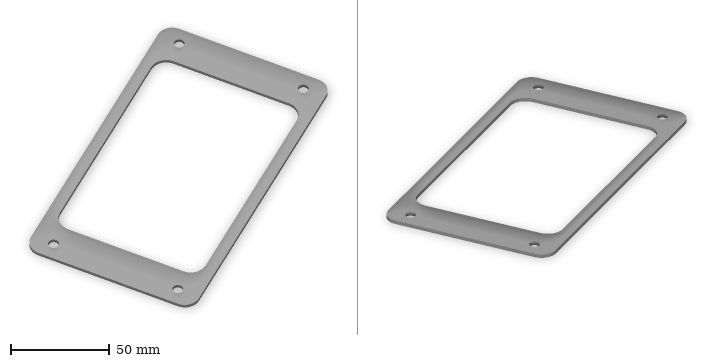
import cadquery as cq

plate_width = 94.7
plate_length = 165.7
plate_thickness = 2.0
plate_corner_radius = 8.0

window_width = 82.0
window_length = 124.2
window_corner_radius = 8.5

hole_diameter = 5.5
hole_spacing_x = 70.0
hole_spacing_y = 148.0


def rounded_slab(width, length, corner_radius):
    """Centred slab of plate thickness with rounded vertical edges."""
    slab = cq.Workplane("XY").rect(width, length).extrude(plate_thickness)
    return slab.edges("|Z").fillet(corner_radius)


def mounting_holes():
    """Four cylinders that cut the mounting holes."""
    pattern = cq.Workplane("XY").rect(hole_spacing_x, hole_spacing_y, forConstruction=True)
    return pattern.vertices().circle(hole_diameter / 2).extrude(plate_thickness)


plate = rounded_slab(plate_width, plate_length, plate_corner_radius)
window = rounded_slab(window_width, window_length, window_corner_radius)
result = plate.cut(window).cut(mounting_holes())